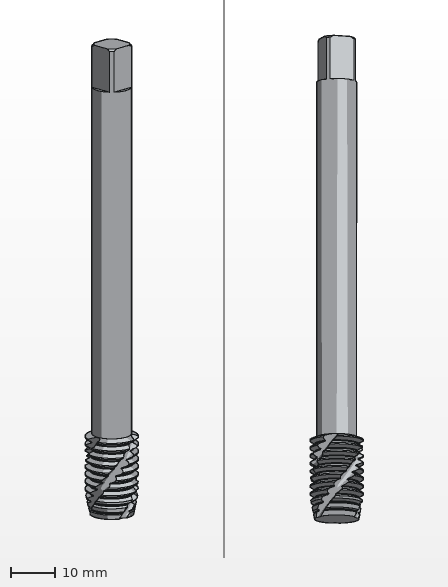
import cadquery as cq
import math

total_length = 110.0
head_length = 18.75

shank_diameter = 9.0
square_width = 7.0
square_length = 10.0
end_chamfer = 0.5

thread_diameter = 12.0
pitch = 1.75
flank_half_angle = 30.0
crest_flat = pitch / 6
root_flat = pitch / 8
crest_radius = thread_diameter / 2
flank_height = (pitch - crest_flat - root_flat) / 2
root_radius = crest_radius - flank_height / math.tan(math.radians(flank_half_angle))
shoulder_height = 0.6

lead_tip_radius = 5.0
lead_length = 5.0

flute_count = 3
flute_lead = 40.0
flute_floor_radius = 4.6
flute_cutter_radius = 1.6
flute_top_angle = -87.0
flute_overrun = 1.0


def make_shank():
    """Round shank standing on the head, with a driving square at its upper end."""
    shank = (
        cq.Workplane("XY")
        .workplane(offset=head_length)
        .circle(shank_diameter / 2)
        .extrude(total_length - head_length)
        .faces(">Z")
        .chamfer(end_chamfer)
    )
    square_start = total_length - square_length
    around_square = (
        cq.Workplane("XY")
        .workplane(offset=square_start)
        .rect(2 * shank_diameter, 2 * shank_diameter)
        .rect(square_width, square_width)
        .extrude(square_length)
    )
    return shank.cut(around_square)


def make_threaded_blank():
    """Ridges from the top face of the head down past the tip, trimmed to the tapered lead."""
    ridge_count = math.ceil(head_length / pitch)
    first_crest_top = head_length - shoulder_height
    profile = cq.Workplane("XZ").moveTo(0, head_length).lineTo(shank_diameter / 2, head_length)
    for ridge in range(ridge_count):
        crest_top = first_crest_top - ridge * pitch
        crest_bottom = crest_top - crest_flat
        root_top = crest_bottom - flank_height
        profile = (
            profile.lineTo(crest_radius, crest_top)
            .lineTo(crest_radius, crest_bottom)
            .lineTo(root_radius, root_top)
            .lineTo(root_radius, root_top - root_flat)
        )
    ridges = profile.lineTo(0, root_top - root_flat).close().revolve()

    envelope = (
        cq.Workplane("XZ")
        .lineTo(lead_tip_radius, 0)
        .lineTo(crest_radius, lead_length)
        .lineTo(crest_radius, head_length)
        .lineTo(0, head_length)
        .close()
        .revolve()
    )
    return ridges.intersect(envelope)


def make_flute_cutter(top_angle):
    """Right-hand twisted round bar that meets the top face of the head at top_angle."""
    cutter_length = head_length + 2 * flute_overrun
    degrees_per_mm = 360 / flute_lead
    start_angle = top_angle - (head_length + flute_overrun) * degrees_per_mm
    cutter_offset = flute_floor_radius + flute_cutter_radius
    return (
        cq.Workplane("XY")
        .pushPoints([(cutter_offset, 0)])
        .circle(flute_cutter_radius)
        .twistExtrude(cutter_length, cutter_length * degrees_per_mm)
        .rotate((0, 0, 0), (0, 0, 1), start_angle)
        .translate((0, 0, -flute_overrun))
    )


def make_head():
    """Threaded cutting head with its spiral flutes."""
    head = make_threaded_blank()
    for flute in range(flute_count):
        top_angle = flute_top_angle + flute * 360 / flute_count
        head = head.cut(make_flute_cutter(top_angle))
    return head


shank = make_shank()
head = make_head()
result = cq.Compound.makeCompound([shank.val(), head.val()])